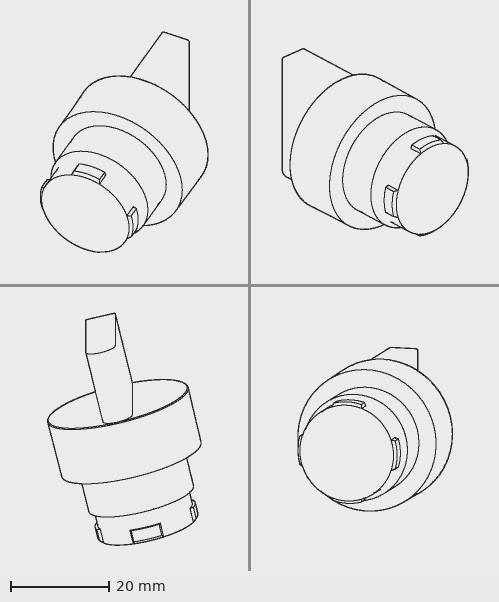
import math

import cadquery as cq

handle_length = 15.0
collar_length = 12.0
neck_length = 8.5
nose_length = 6.5

collar_diameter = 29.5
collar_front_diameter = 29.25
collar_chamfer = 0.2

neck_diameter = 22.0
nose_diameter = 19.8
nose_root_fillet = 0.5

tab_count = 4
tab_diameter = 21.0
tab_root_width = 6.35
tab_flank_angle = 20.0
tab_embed = 0.4
tab_length = 3.0
tab_chamfer = (tab_diameter - nose_diameter) / 2

handle_thickness = 6.2
handle_height = 28.8
handle_top_fillet = 0.5

neck_end = -neck_length
nose_tip = neck_end - nose_length
tab_back = nose_tip + tab_length
handle_end = collar_length + handle_length


def make_body():
    """Collar, neck and nose as one profile turned about the Y axis."""
    collar_radius = collar_diameter / 2
    nose_radius = nose_diameter / 2
    fillet_mid = nose_root_fillet * (1 - math.sqrt(0.5))
    return (
        cq.Workplane("XY")
        .moveTo(0, nose_tip)
        .lineTo(nose_radius, nose_tip)
        .lineTo(nose_radius, neck_end - nose_root_fillet)
        .threePointArc(
            (nose_radius + fillet_mid, neck_end - fillet_mid),
            (nose_radius + nose_root_fillet, neck_end),
        )
        .lineTo(neck_diameter / 2, neck_end)
        .lineTo(neck_diameter / 2, 0)
        .lineTo(collar_front_diameter / 2, 0)
        .lineTo(collar_radius, collar_length - collar_chamfer)
        .lineTo(collar_radius - collar_chamfer, collar_length)
        .lineTo(0, collar_length)
        .close()
        .revolve(360, (0, 0, 0), (0, 1, 0))
    )


def make_tabs():
    """Bayonet tabs: ring sectors with leaning flanks, chamfered at the nose tip."""
    tab_radius = tab_diameter / 2
    ring = (
        cq.Workplane("XY")
        .moveTo(0, nose_tip)
        .lineTo(tab_radius - tab_chamfer, nose_tip)
        .lineTo(tab_radius, nose_tip + tab_chamfer)
        .lineTo(tab_radius, tab_back)
        .lineTo(0, tab_back)
        .close()
        .revolve(360, (0, 0, 0), (0, 1, 0))
    )

    root_half_width = tab_root_width / 2
    root_height = math.sqrt((nose_diameter / 2) ** 2 - root_half_width**2)
    lean = math.tan(math.radians(tab_flank_angle))
    base_height = root_height - tab_embed
    base_half_width = root_half_width + tab_embed * lean
    top_half_width = root_half_width - (tab_radius - root_height) * lean
    wedge = (
        cq.Workplane("XZ", origin=(0, tab_back, 0))
        .moveTo(-base_half_width, base_height)
        .lineTo(base_half_width, base_height)
        .lineTo(top_half_width, tab_radius)
        .lineTo(-top_half_width, tab_radius)
        .close()
        .extrude(tab_length)
    )

    tab = ring.intersect(wedge)
    tabs = tab
    for index in range(1, tab_count):
        turn = index * 360 / tab_count
        tabs = tabs.union(tab.rotate((0, 0, 0), (0, 1, 0), turn))
    return tabs


def make_handle():
    """Blade with a fully rounded lower edge and small fillets on the upper edges."""
    half_thickness = handle_thickness / 2
    half_height = handle_height / 2
    round_centre = half_thickness - half_height
    return (
        cq.Workplane("XZ", origin=(0, handle_end, 0))
        .moveTo(-half_thickness, round_centre)
        .threePointArc((0, -half_height), (half_thickness, round_centre))
        .lineTo(half_thickness, half_height)
        .lineTo(-half_thickness, half_height)
        .close()
        .extrude(handle_length)
        .edges("|Y and >Z")
        .fillet(handle_top_fillet)
    )


result = make_body().union(make_tabs()).union(make_handle())